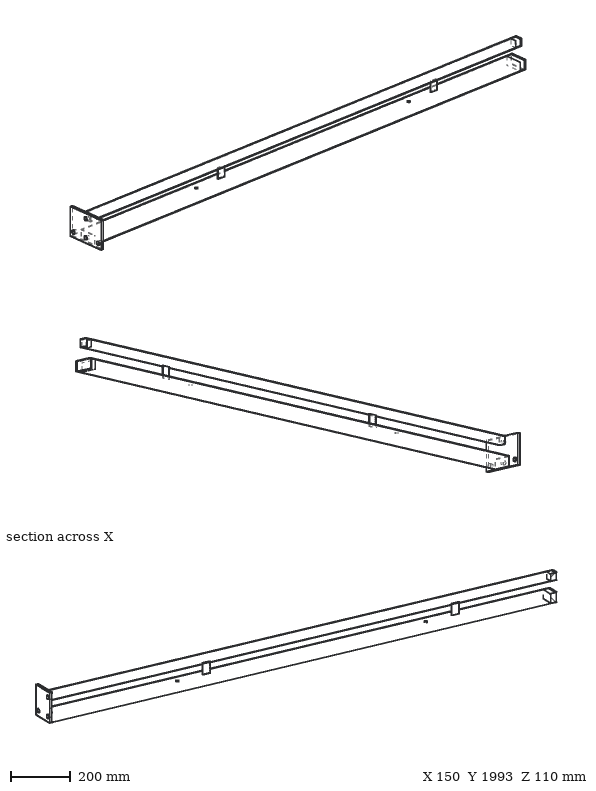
import cadquery as cq

total_length = 1993.0
plate_width = 150.0
plate_height = 110.0
plate_thickness = 10.0

lower_width = 70.0
lower_height = 38.0
upper_width = 30.0
upper_height = 30.0
corner_radius = 4.0
wall = 2.5

flange_thickness = 4.0
plug_depth = 20.0

web_length = 30.0
web_thickness = 4.0
web_positions = (624.0, 1602.0)

tube_hole_diameter = 10.0
tube_hole_positions = (510.0, 1487.0)

plate_hole_diameter = 14.0
plate_hole_spacing = 60.0
plate_hole_margin = 20.0

tube_end = total_length - flange_thickness
tube_length = tube_end - plate_thickness
lower_middle = lower_height / 2
upper_bottom = plate_height - upper_height
upper_middle = upper_bottom + upper_height / 2


def rounded_bar(width, height, radius, y_start, length, z_middle):
    """Bar along Y, centred on X, with its four long edges rounded."""
    bar = cq.Workplane("XY").box(width, length, height, centered=(True, False, True))
    return bar.edges("|Y").fillet(radius).translate((0, y_start, z_middle))


def bore_bar(width, height, y_start, length, z_middle):
    """Bar that fills the inside of a tube of the given outer size."""
    return rounded_bar(
        width - 2 * wall, height - 2 * wall, corner_radius - wall, y_start, length, z_middle
    )


def make_tube(width, height, z_middle):
    outside = rounded_bar(width, height, corner_radius, plate_thickness, tube_length, z_middle)
    return outside.cut(bore_bar(width, height, plate_thickness, tube_length, z_middle))


def make_cap(width, height, z_middle):
    flange = rounded_bar(width, height, corner_radius, tube_end, flange_thickness, z_middle)
    return flange.union(bore_bar(width, height, tube_end - plug_depth, plug_depth, z_middle))


def make_lower_tube():
    tube = make_tube(lower_width, lower_height, lower_middle)
    for y in tube_hole_positions:
        hole = cq.Workplane("XY").circle(tube_hole_diameter / 2).extrude(lower_height / 2)
        tube = tube.cut(hole.translate((0, y, lower_middle)))
    return tube


def make_web(y):
    gap = upper_bottom - lower_height
    web = cq.Workplane("XY").box(web_thickness, web_length, gap, centered=(True, True, False))
    return web.translate((0, y, lower_height))


def make_base_plate():
    plate = cq.Workplane("XY").box(
        plate_width, plate_thickness, plate_height, centered=(True, False, False)
    )
    low_row = plate_hole_margin
    high_row = plate_height - plate_hole_margin
    hole_places = [(x, low_row) for x in (-plate_hole_spacing, 0, plate_hole_spacing)]
    hole_places.append((0, high_row))
    for x, z in hole_places:
        hole = cq.Workplane("XZ").circle(plate_hole_diameter / 2).extrude(-plate_thickness)
        plate = plate.cut(hole.translate((x, 0, z)))
    return plate


base_plate = make_base_plate()
lower_tube = make_lower_tube()
upper_tube = make_tube(upper_width, upper_height, upper_middle)
lower_cap = make_cap(lower_width, lower_height, lower_middle)
upper_cap = make_cap(upper_width, upper_height, upper_middle)
webs = [make_web(y) for y in web_positions]

result = cq.Compound.makeCompound([
    base_plate.val(),
    lower_tube.val(),
    upper_tube.val(),
    lower_cap.val(),
    upper_cap.val(),
    *[web.val() for web in webs],
])